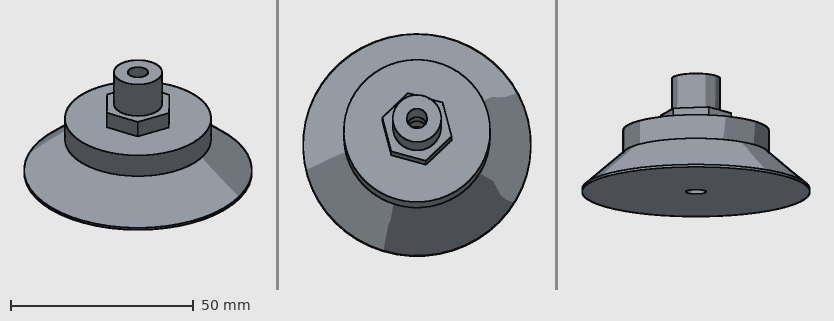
import cadquery as cq
import math

bore_diameter = 5.5

lip_diameter = 62.31
lip_height = 0.7
skirt_height = 10.5

plate_diameter = 40.0
plate_height = 6.6

hex_across_flats = 17.0
hex_across_corners = hex_across_flats / math.cos(math.radians(30))
hex_height = 4.6
hex_angle = 3.3

tube_diameter = 13.2
tube_height = 10.0

plate_base = skirt_height
hex_base = plate_base + plate_height
tube_base = hex_base + hex_height


def make_skirt():
    """Cone from the lip up to the plate, with the bore left open on the axis."""
    bore_radius = bore_diameter / 2
    lip_radius = lip_diameter / 2
    top_radius = plate_diameter / 2
    return (
        cq.Workplane("XZ")
        .moveTo(bore_radius, 0)
        .lineTo(lip_radius, 0)
        .lineTo(lip_radius, lip_height)
        .lineTo(top_radius, skirt_height)
        .lineTo(bore_radius, skirt_height)
        .close()
        .revolve(360, (0, 0, 0), (0, 1, 0))
    )


def make_ring(base, diameter, height):
    """Bored cylinder standing on the level `base`."""
    return (
        cq.Workplane("XY", origin=(0, 0, base))
        .circle(diameter / 2)
        .circle(bore_diameter / 2)
        .extrude(height)
    )


def make_hexagon():
    """Bored hexagon, turned slightly about the axis."""
    return (
        cq.Workplane("XY", origin=(0, 0, hex_base))
        .polygon(6, hex_across_corners)
        .circle(bore_diameter / 2)
        .extrude(hex_height)
        .rotate((0, 0, 0), (0, 0, 1), hex_angle)
    )


skirt = make_skirt()
plate = make_ring(plate_base, plate_diameter, plate_height)
hexagon = make_hexagon()
tube = make_ring(tube_base, tube_diameter, tube_height)

result = cq.Compound.makeCompound([skirt.val(), plate.val(), hexagon.val(), tube.val()])